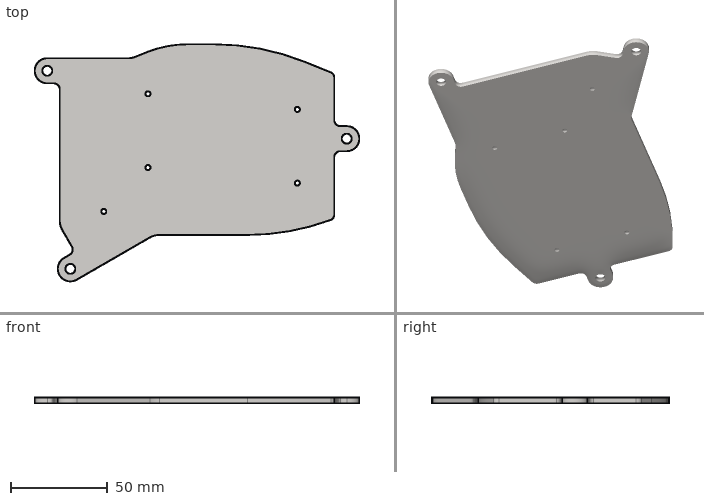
import cadquery as cq
import math


thickness = 3.0
plate_width = 141.6
plate_height = 98.5

ear_radius = 6.5
ear_reach = 6.4
ear_hole_diameter = 5.0
lower_ear_angle = 30.0
lower_ear_x, lower_ear_y = 5.5, -17.4
right_ear_y = 49.7
left_shoulder_y = 91.2

top_right_radius = 125.5
top_right_start = 79.5
top_right_slope = 22.0
top_left_radius = 56.0
top_left_start = 66.0
ramp_angle = 22.0
bottom_radius = 123.9
bottom_start = 96.6

ear_fillet = 3.0
corner_fillet = 3.0
left_bend_fillet = 10.0
bottom_bend_fillet = 10.0
shoulder_fillet = 10.0

screw_hole_diameter = 2.5
screw_pitch = 38.0
inner_pair_x, inner_pair_y = 45.5, 34.8
outer_pair_x, outer_pair_y = 122.5, 26.8
single_hole = (22.8, 12.2)

slope_cos = math.cos(math.radians(lower_ear_angle))
slope_sin = math.sin(math.radians(lower_ear_angle))


def lower_ear_point(along, across):
    """Point in the lower ear's own frame: along its axis into the plate, and to the left of it."""
    return (
        lower_ear_x + along * slope_cos - across * slope_sin,
        lower_ear_y + along * slope_sin + across * slope_cos,
    )


def arc_drop(radius, run):
    """How far an arc has left its tangent line after a horizontal run."""
    return radius - math.sqrt(radius**2 - run**2)


lower_root_inner = lower_ear_point(ear_reach, ear_radius)
lower_root_outer = lower_ear_point(ear_reach, -ear_radius)
left_bend = (0, lower_root_inner[1] + lower_root_inner[0] * slope_cos / slope_sin)
bottom_bend = (lower_root_outer[0] - lower_root_outer[1] * slope_cos / slope_sin, 0)

bottom_run = plate_width - bottom_start
bottom_right = (plate_width, arc_drop(bottom_radius, bottom_run))
bottom_middle = (bottom_start + bottom_run / 2, arc_drop(bottom_radius, bottom_run / 2))


def below_top(start, radius, angle, side):
    """Point where an arc leaving the top edge has reached the given slope; side is +1 right, -1 left."""
    turn = math.radians(angle)
    return (
        start + side * radius * math.sin(turn),
        plate_height - radius * (1 - math.cos(turn)),
    )


def top_right_point(angle):
    return below_top(top_right_start, top_right_radius, angle, 1)


def top_left_point(angle):
    return below_top(top_left_start, top_left_radius, angle, -1)


top_right_end = top_right_point(top_right_slope)
top_right_fall = (plate_width - top_right_end[0]) * math.tan(math.radians(top_right_slope))
top_right = (plate_width, top_right_end[1] - top_right_fall)

ramp_top = top_left_point(ramp_angle)
ramp_run = (ramp_top[1] - left_shoulder_y) / math.tan(math.radians(ramp_angle))
shoulder = (ramp_top[0] - ramp_run, left_shoulder_y)

left_ear = (-ear_reach, left_shoulder_y - ear_radius)
right_ear = (plate_width + ear_reach, right_ear_y)
lower_ear = (lower_ear_x, lower_ear_y)


def make_plate():
    return (
        cq.Workplane("XY")
        .moveTo(*left_bend)
        .lineTo(*lower_root_outer)
        .lineTo(*bottom_bend)
        .lineTo(bottom_start, 0)
        .threePointArc(bottom_middle, bottom_right)
        .lineTo(*top_right)
        .lineTo(*top_right_end)
        .threePointArc(top_right_point(top_right_slope / 2), (top_right_start, plate_height))
        .lineTo(top_left_start, plate_height)
        .threePointArc(top_left_point(ramp_angle / 2), ramp_top)
        .lineTo(*shoulder)
        .lineTo(0, left_shoulder_y)
        .close()
        .extrude(thickness)
    )


def make_ear(center, angle):
    """Round-ended ear whose square end runs one ear width into the plate along the given angle."""
    length = ear_reach + 2 * ear_radius
    ear = (
        cq.Workplane("XY")
        .moveTo(0, -ear_radius)
        .lineTo(length, -ear_radius)
        .lineTo(length, ear_radius)
        .lineTo(0, ear_radius)
        .threePointArc((-ear_radius, 0), (0, -ear_radius))
        .close()
        .extrude(thickness)
    )
    return ear.rotate((0, 0, 0), (0, 0, 1), angle).translate((*center, 0))


def round_corner(body, corner, radius):
    """Fillet the upright edge that stands on the given outline corner."""
    nearest = cq.selectors.NearestToPointSelector((*corner, thickness / 2))
    return body.edges("|Z").edges(nearest).fillet(radius)


def drill(body, centers, diameter):
    drills = cq.Workplane("XY").pushPoints(centers).circle(diameter / 2).extrude(thickness)
    return body.cut(drills)


body = make_plate()
ears = [(left_ear, 0), (right_ear, 180), (lower_ear, lower_ear_angle)]
for ear_center, ear_angle in ears:
    body = body.union(make_ear(ear_center, ear_angle))
body = body.clean()

rounded_corners = [
    (left_bend, left_bend_fillet),
    (bottom_bend, bottom_bend_fillet),
    (shoulder, shoulder_fillet),
    (bottom_right, corner_fillet),
    (top_right, corner_fillet),
    ((0, left_shoulder_y - 2 * ear_radius), ear_fillet),
    ((plate_width, right_ear_y - ear_radius), ear_fillet),
    ((plate_width, right_ear_y + ear_radius), ear_fillet),
    (lower_root_inner, ear_fillet),
]
for corner_point, corner_radius in rounded_corners:
    body = round_corner(body, corner_point, corner_radius)

screw_holes = [single_hole]
for pair_x, pair_y in [(inner_pair_x, inner_pair_y), (outer_pair_x, outer_pair_y)]:
    screw_holes += [(pair_x, pair_y), (pair_x, pair_y + screw_pitch)]

body = drill(body, [left_ear, right_ear, lower_ear], ear_hole_diameter)
result = drill(body, screw_holes, screw_hole_diameter)